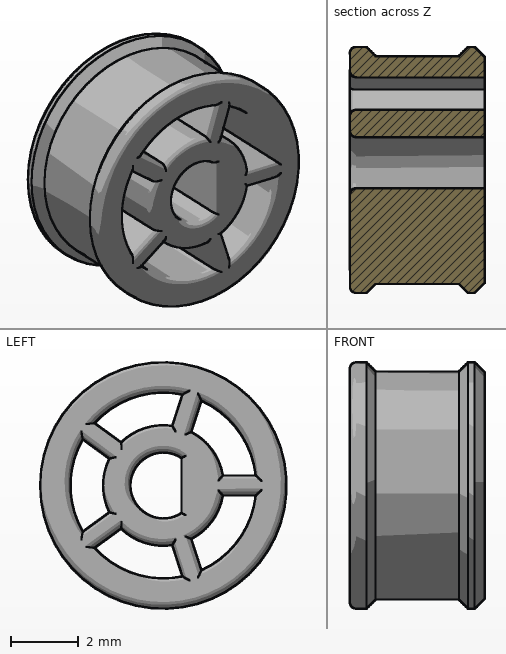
import cadquery as cq

width = 4.0
flange_radius = 3.65
tread_radius = 6.75 / 2

groove_slope = flange_radius - tread_radius
front_flange_width = 0.5
back_flange_land = 0.2
back_chamfer = 0.3

rim_inner_radius = 2.745
hub_radius = 1.79
bore_radius = 0.97
bore_flat_distance = 0.53
spoke_count = 5
spoke_thickness = 0.6
front_fillet = 0.2


def make_wheel_body():
    """Solid of revolution with two flanges and a trapezoidal tread groove."""
    back_land_end = width - back_chamfer
    back_land_start = back_land_end - back_flange_land
    return (
        cq.Workplane("XY")
        .moveTo(0, 0)
        .lineTo(0, flange_radius)
        .lineTo(front_flange_width, flange_radius)
        .lineTo(front_flange_width + groove_slope, tread_radius)
        .lineTo(back_land_start - groove_slope, tread_radius)
        .lineTo(back_land_start, flange_radius)
        .lineTo(back_land_end, flange_radius)
        .lineTo(width, flange_radius - back_chamfer)
        .lineTo(width, 0)
        .close()
        .revolve(360, (0, 0, 0), (1, 0, 0))
    )


def make_window_cutter():
    """Ring between hub and rim, with the spokes left out of it."""
    cutter = cq.Workplane("YZ").circle(rim_inner_radius).circle(hub_radius).extrude(width)
    spoke = (
        cq.Workplane("YZ")
        .center(-flange_radius / 2, 0)
        .rect(flange_radius, spoke_thickness)
        .extrude(width)
    )
    for index in range(spoke_count):
        angle = index * 360 / spoke_count
        cutter = cutter.cut(spoke.rotate((0, 0, 0), (1, 0, 0), angle))
    return cutter


def make_bore_cutter():
    """Round bore cut off by a flat on the -Y side."""
    bore = cq.Workplane("YZ").circle(bore_radius).extrude(width)
    kept_side = (
        cq.Workplane("YZ")
        .center(bore_radius - bore_flat_distance, 0)
        .rect(2 * bore_radius, 2 * bore_radius)
        .extrude(width)
    )
    return bore.intersect(kept_side)


wheel = make_wheel_body().cut(make_window_cutter()).cut(make_bore_cutter())

result = wheel.faces("<X").edges().fillet(front_fillet)